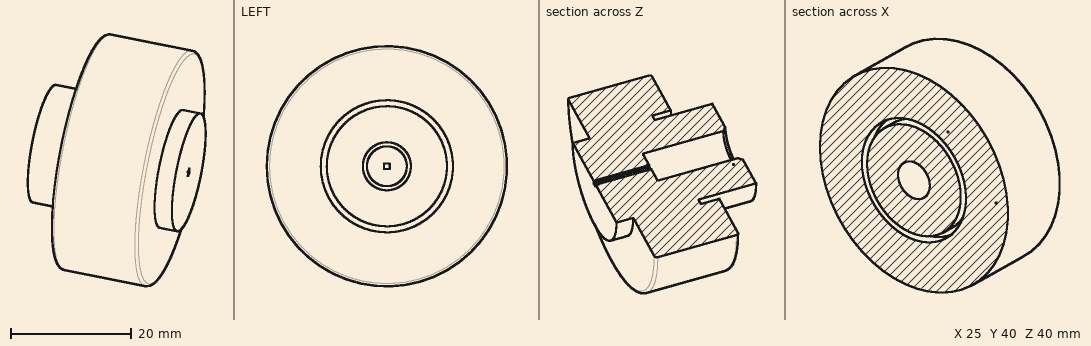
import cadquery as cq

rim_diameter = 40.0
rim_width = 15.0
rim_edge_radius = 0.5

hub_diameter = 20.0
hub_front_length = 7.0
hub_back_length = 3.0
hub_length = hub_front_length + rim_width + hub_back_length

recess_diameter = 22.0
recess_depth = 3.3

bore_diameter = 6.65
bore_depth = 15.0
bore_mouth_diameter = 8.0
bore_chamfer = (bore_mouth_diameter - bore_diameter) / 2
square_hole_side = 0.9

hub_front_x = -hub_front_length


def cylinder(diameter, start_x, length):
    """Solid cylinder along +X, starting at start_x."""
    return cq.Workplane("YZ", origin=(start_x, 0, 0)).circle(diameter / 2).extrude(length)


rim = cylinder(rim_diameter, 0, rim_width).edges().fillet(rim_edge_radius)
recess = cylinder(recess_diameter, 0, recess_depth)
hub = cylinder(hub_diameter, hub_front_x, hub_length)

bore = cylinder(bore_diameter, hub_front_x, bore_depth)
bore_mouth = cq.Workplane(
    cq.Solid.makeCone(
        bore_mouth_diameter / 2,
        bore_diameter / 2,
        bore_chamfer,
        pnt=cq.Vector(hub_front_x, 0, 0),
        dir=cq.Vector(1, 0, 0),
    )
)
square_hole = (
    cq.Workplane("YZ", origin=(hub_front_x, 0, 0))
    .rect(square_hole_side, square_hole_side)
    .extrude(hub_length)
)

result = rim.cut(recess).union(hub).cut(bore).cut(bore_mouth).cut(square_hole)